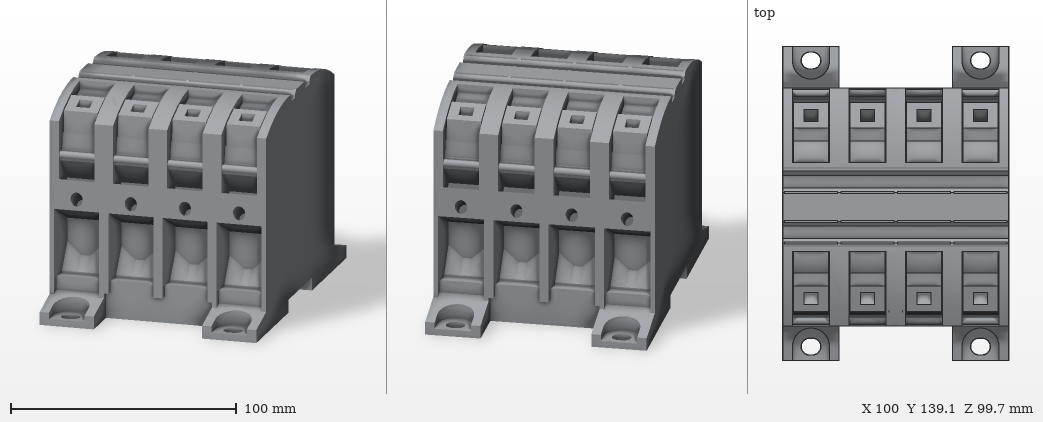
import cadquery as cq
import math


length = 100.0
overall_depth = 139.1
module_count = 4
pitch = length / module_count
module_centers = [(i + 0.5) * pitch - length / 2 for i in range(module_count)]
end_centers = [module_centers[0], module_centers[-1]]
inner_centers = module_centers[1:-1]
clear = 7.0

height = 99.7
half_depth = 52.7
shoulder_height = 90.0
crown_half = 17.2
base_recess = 3.6
base_half = half_depth - base_recess
inner_rail_bottom = 12.2
end_rail_bottom = 10.0

foot_end_height = 6.0
foot_overlap = 1.4
foot_slope = math.tan(math.radians(15))
front_foot_length = 15.3
rear_foot_length = overall_depth - 2 * half_depth - front_foot_length
screw_end_distance = 6.3
screw_seat_radius = 8.2
screw_seat_height = 3.0
screw_slot_length = 8.6
screw_slot_width = 7.4

rail_half = 18.1
end_rail_depth = 6.0
inner_rail_depth = 5.4
hook_reach = 1.8
hook_height = 4.3

groove_center = 11.1
groove_top_half = 4.7
groove_floor_half = 2.8
groove_depth = 3.3
groove_slope_depth = 2.0
lip_notch_width = 0.8
lip_notch_depth = 0.5
lip_notch_inset = 0.8

window_width = 16.4
window_inner = 19.8
window_floor = 83.0
ledge_height = 76.0
bar_center = 50.4
bar_height = 74.0
bar_radius = 1.7
skirt_top = 72.9
skirt_bottom = 71.5
skirt_lean = 0.7
sill_height = 63.3
entry_depth = 11.1

lever_width = 15.5
lever_front = 46.2
lever_rear = 35.0
lever_front_height = 93.2
lever_rear_height = 97.2
saddle_height = 95.8
valley_start = 29.2
valley_height = 92.4
front_block_top = 46.7
front_block_bottom = 47.9
socket_width = 6.3
socket_inner = 37.8
socket_outer = 43.1
socket_bottom = 88.7

test_radius = 2.8
test_height = 54.5
test_angle = 30
test_depth = 11.1

rail_width = 2.1
mouth_half = pitch / 2 - rail_width
funnel_depth = 13.9
funnel_rear_half = 8.5
mouth_top = 49.4
funnel_rear_top = 41.6
shelf_height = 17.7
floor_front_height = 18.8
floor_front_depth = 8.2
floor_rear_height = 24.9
flank_rear_height = 32.4
floor_strip_half = 2.0


def side_profile(outline, width):
    """Extrude a (distance, height) outline on the +Y side, centred on X = 0."""
    return cq.Workplane("YZ").polyline(outline).close().extrude(width / 2, both=True)


def on_both_faces(shape):
    """Pair a shape made on the +Y side with its mirror image on the -Y side."""
    return shape.union(shape.mirror("XZ"))


def housing_module(rail_bottom):
    crown_drop = height - shoulder_height
    crown_run = half_depth - crown_half
    crown_radius = (crown_run**2 + crown_drop**2) / (2 * crown_drop)
    half_angle = math.asin(crown_run / crown_radius) / 2
    mid_y = crown_half + crown_radius * math.sin(half_angle)
    mid_z = height - crown_radius * (1 - math.cos(half_angle))
    return (
        cq.Workplane("YZ")
        .moveTo(-base_half, 0)
        .lineTo(base_half, 0)
        .lineTo(base_half, rail_bottom)
        .lineTo(half_depth, rail_bottom)
        .lineTo(half_depth, shoulder_height)
        .threePointArc((mid_y, mid_z), (crown_half, height))
        .lineTo(-crown_half, height)
        .threePointArc((-mid_y, mid_z), (-half_depth, shoulder_height))
        .lineTo(-half_depth, rail_bottom)
        .lineTo(-base_half, rail_bottom)
        .close()
        .extrude(pitch / 2, both=True)
    )


def marker_groove():
    floor_z = height - groove_depth
    slope_z = height - groove_slope_depth
    return side_profile(
        [
            (groove_center - groove_top_half, height),
            (groove_center - groove_floor_half, slope_z),
            (groove_center - groove_floor_half, floor_z),
            (groove_center + groove_floor_half, floor_z),
            (groove_center + groove_floor_half, slope_z),
            (groove_center + groove_top_half, height),
        ],
        length,
    )


def lip_notch(center_y):
    return cq.Workplane("XY").box(
        pitch - 2 * lip_notch_inset, lip_notch_width, 2 * lip_notch_depth
    ).translate((0, center_y, height))


def lever_window():
    bar_end_y = bar_center + math.sqrt(bar_radius**2 - (bar_height - skirt_top) ** 2)
    roof_y = bar_end_y - skirt_lean
    end_step = ((half_depth - sill_height) - (roof_y - skirt_bottom)) / 2
    end_y = roof_y - entry_depth
    end_z = skirt_bottom - entry_depth
    return (
        cq.Workplane("YZ")
        .moveTo(window_inner, height + clear)
        .lineTo(window_inner, window_floor)
        .lineTo(front_block_top, window_floor)
        .lineTo(front_block_bottom, ledge_height)
        .lineTo(bar_center - bar_radius, ledge_height)
        .lineTo(bar_center - bar_radius, bar_height)
        .threePointArc((bar_center, bar_height + bar_radius), (bar_end_y, skirt_top))
        .lineTo(roof_y, skirt_bottom)
        .lineTo(end_y, end_z)
        .lineTo(end_y + end_step, end_z - end_step)
        .lineTo(half_depth, sill_height)
        .lineTo(half_depth + clear, sill_height)
        .lineTo(half_depth + clear, height + clear)
        .close()
        .extrude(window_width / 2, both=True)
    )


def lever_top(y):
    """Height of the sloping lever top at distance y."""
    slope = (lever_rear_height - lever_front_height) / (lever_front - lever_rear)
    return lever_rear_height - slope * (y - lever_rear)


def lever_insert():
    run = valley_start - window_inner
    drop = saddle_height - valley_height
    radius = (run**2 + drop**2) / (2 * drop)
    half_angle = math.asin(run / radius) / 2
    saddle_mid = (
        window_inner + radius * math.sin(half_angle),
        saddle_height - radius * (1 - math.cos(half_angle)),
    )
    body = (
        cq.Workplane("YZ")
        .moveTo(window_inner, window_floor)
        .lineTo(window_inner, saddle_height)
        .threePointArc(saddle_mid, (valley_start, valley_height))
        .lineTo(lever_rear, valley_height)
        .lineTo(lever_rear, lever_rear_height)
        .lineTo(lever_front, lever_front_height)
        .lineTo(front_block_top, window_floor)
        .close()
        .extrude(lever_width / 2, both=True)
    )
    socket = side_profile(
        [
            (socket_inner, socket_bottom),
            (socket_inner, height),
            (socket_outer, height),
            (socket_outer, lever_top(socket_outer)),
        ],
        socket_width,
    )
    return body.cut(socket)


def test_hole():
    angle = math.radians(test_angle)
    inward = cq.Vector(0, -math.cos(angle), -math.sin(angle))
    start = cq.Vector(0, half_depth, test_height) - inward * clear
    return cq.Workplane(cq.Solid.makeCylinder(test_radius, clear + test_depth, start, inward))


def flank(side):
    """Twisted wedge rising from the funnel floor to one rear corner."""
    front_y = half_depth - floor_front_depth
    rear_y = half_depth - funnel_depth
    inner = side * floor_strip_half
    outer = side * mouth_half
    front_inner = cq.Vector(inner, front_y, floor_front_height)
    front_outer = cq.Vector(outer, front_y, floor_front_height)
    rear_inner = cq.Vector(inner, rear_y, floor_rear_height)
    rear_outer = cq.Vector(outer, rear_y, floor_rear_height)
    rear_corner = cq.Vector(outer, rear_y, flank_rear_height)
    loops = [
        [front_inner, front_outer, rear_outer, rear_inner],
        [front_outer, rear_outer, rear_corner],
        [rear_inner, rear_outer, rear_corner],
    ]
    faces = [cq.Face.makeFromWires(cq.Wire.makePolygon(loop, close=True)) for loop in loops]
    front_edge = cq.Edge.makeLine(front_inner, front_outer)
    rear_edge = cq.Edge.makeLine(rear_inner, rear_corner)
    faces.append(cq.Face.makeRuledSurface(front_edge, rear_edge))
    return cq.Workplane(cq.Solid.makeSolid(cq.Shell.makeShell(faces)))


def wire_funnel():
    rear_y = half_depth - funnel_depth
    cavity = side_profile(
        [
            (half_depth, mouth_top),
            (rear_y, funnel_rear_top),
            (rear_y, floor_rear_height),
            (half_depth - floor_front_depth, floor_front_height),
            (half_depth - floor_front_depth, shelf_height),
            (half_depth, shelf_height),
        ],
        pitch,
    )
    taper = (
        cq.Workplane("XY")
        .polyline(
            [
                (-mouth_half, half_depth),
                (mouth_half, half_depth),
                (funnel_rear_half, rear_y),
                (-funnel_rear_half, rear_y),
            ]
        )
        .close()
        .extrude(height)
    )
    recess = (
        cq.Workplane("XY")
        .box(2 * mouth_half, base_recess, shelf_height, centered=(True, False, False))
        .translate((0, base_half, 0))
    )
    return cavity.intersect(taper).cut(flank(-1)).cut(flank(1)).union(recess)


def foot(foot_length):
    end_y = half_depth + foot_length
    inner_y = base_half - foot_overlap
    inner_height = foot_end_height + foot_slope * (end_y - inner_y)
    body = side_profile(
        [(inner_y, 0), (end_y, 0), (end_y, foot_end_height), (inner_y, inner_height)], pitch
    )
    screw_y = end_y - screw_end_distance
    seat = (
        cq.Workplane("XY", origin=(0, screw_y, screw_seat_height))
        .moveTo(-screw_seat_radius, clear)
        .lineTo(-screw_seat_radius, 0)
        .threePointArc((0, -screw_seat_radius), (screw_seat_radius, 0))
        .lineTo(screw_seat_radius, clear)
        .close()
        .extrude(height)
    )
    screw_slot = (
        cq.Workplane("XY", origin=(0, screw_y, 0))
        .slot2D(screw_slot_length, screw_slot_width)
        .extrude(height)
    )
    return body.cut(seat).cut(screw_slot)


def rail_slot(depth):
    return cq.Workplane("XY").box(pitch, 2 * rail_half, 2 * depth)


def rail_hook():
    return side_profile(
        [(rail_half, 0), (rail_half - hook_reach, hook_height), (rail_half, inner_rail_depth)], pitch
    )


def module(is_end):
    body = housing_module(end_rail_bottom if is_end else inner_rail_bottom)
    body = body.cut(on_both_faces(lever_window()))
    body = body.cut(on_both_faces(test_hole()))
    body = body.cut(on_both_faces(wire_funnel()))
    body = body.union(on_both_faces(lever_insert()))
    body = body.cut(on_both_faces(marker_groove()))
    inner_lip = groove_center - groove_top_half
    outer_lip = groove_center + groove_top_half
    for lip_y in (-outer_lip, -inner_lip, inner_lip):
        body = body.cut(lip_notch(lip_y))
    if is_end:
        body = body.union(foot(rear_foot_length))
        body = body.union(foot(front_foot_length).mirror("XZ"))
        return body.cut(rail_slot(end_rail_depth))
    return body.cut(rail_slot(inner_rail_depth)).union(rail_hook())


end_module = module(is_end=True)
inner_module = module(is_end=False)
result = end_module.translate((end_centers[0], 0, 0))
for x in inner_centers:
    result = result.union(inner_module.translate((x, 0, 0)))
result = result.union(end_module.translate((end_centers[1], 0, 0)))